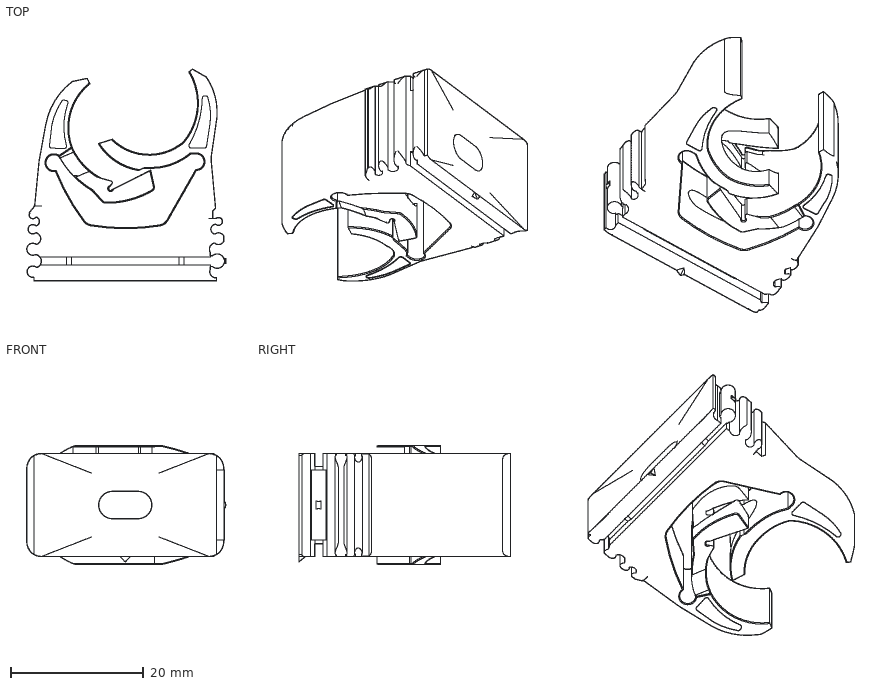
import cadquery as cq


half_depth = 7.8
hook_half_depth = 9.0
base_half_width = 12.65
foot_half_width = 13.8
teeth_half_width = 14.9
flank_radius = 2.25
left_foot_x = -13.72
right_neck_x = 13.25
left_foot_y = 11.31
right_foot_y = 11.0
right_teeth_top = 9.45
arm_edge_radius = 0.85
rim_chamfer = 0.15
tolerance = 0.01

left_teeth = [(9.95, 0.55), (7.82, 0.72), (4.8, 0.92), (1.4, 0.87)]
right_teeth = [(9.0, 0.6), (6.4, 0.9)]
left_tooth_x = -13.98
right_tooth_x = 14.1
left_notches = [(9.0, 0.7), (6.4, 0.9), (3.0, 1.0)]
right_notches = [(7.82, 0.74), (4.8, 0.96), (1.4, 0.9)]
notch_x = 13.7

key_height = 3.0
key_radius = 1.1
key_x = 13.9
key_half_depth = 5.3
key_stem_half_height = 0.83
key_bay_x = 12.88
pin_radius = 0.85
pin_half_height = 0.37
pin_tip_x = 15.2

groove_bottom = 2.45
groove_top = 3.65
groove_outer_floor = 5.3
groove_middle_floor = 5.86
groove_step_inner = 8.1
groove_step_outer = 8.9

panel_outer = (12.0, 4.64, 0.16)
panel_inner = (5.1, 4.83, 1.06)
recess_corner_x = 1.1
recess_corner_z = 0.4
funnel_depth = 1.7
slot_length = 8.0
slot_width = 4.1

arrow_half_width = 0.75
arrow_reach = 0.83
arrow_height = 1.0

pivot_left = (-11.97, 18.04)
bay_centre = (10.72, 18.04)
bay_radius = 1.18
bay_top = (bay_centre[0], bay_centre[1] + bay_radius)
right_hook_root = (9.9, bay_top[1])
cavity_corner_left = (-5.8, 8.6)
cavity_corner_right = (5.95, 8.6)
cavity_corner_radius = 1.6
cavity_floor = 8.05
cavity_top_left = (-10.46, 16.72)
cavity_top_right = (10.6, 16.75)
left_arm_root = (-8.0, 20.15)
left_hook_root = (-10.0, 18.8)
right_arm_root = (8.75, 21.0)
left_ramp_start = (-8.7, 19.1)
left_ramp_direction = -67
left_ramp_run = 3.6
right_ramp_start = (9.0, 20.0)
right_ramp_direction = -137
right_ramp_run = 4.4
hook_rim_start_x = -8.2
hook_toe = (4.5, 13.86)
hook_heel = (-3.32, 11.78)
hook_corner_radius = 0.7
access_radius = 5.25
access_top = 24.0
hook_gap_top = 15.97
hook_gap_ceiling = 8.77

arm_outside_x = 12.3
arm_straight_bottom = left_foot_y + 0.5
left_curve_x = -8.5
left_curve_bottom = 25.0
arm_tip_bottom = 30.0
rim_limit_x = 11.99
rim_bottom = 5.0
rim_top = 27.0

pocket_depth = 0.1
pocket_corner_radius = 0.35


def slab(outline, half):
    """Extrude a closed XY outline to both sides of Z = 0."""
    return outline.close().extrude(half, both=True)


def disc(x, y, radius, half=half_depth):
    return cq.Workplane("XY").center(x, y).circle(radius).extrude(half, both=True)


def box_between(x0, x1, y0, y1, z0, z1):
    size = (x1 - x0, y1 - y0, z1 - z0)
    return cq.Workplane("XY").box(*size, centered=False).translate((x0, y0, z0))


def fillet_upright(body, corners, radius):
    """Round the edges parallel to Z that stand at the given XY corners."""
    for corner in corners:
        edge_finder = cq.selectors.NearestToPointSelector((*corner, 0))
        body = body.edges(edge_finder).fillet(radius)
    return body


def polyhedron(faces):
    """Solid bounded by flat faces, each given as a list of corner points."""
    made = [
        cq.Face.makeFromWires(cq.Wire.makePolygon([cq.Vector(*p) for p in face], close=True))
        for face in faces
    ]
    return cq.Workplane(obj=cq.Solid.makeSolid(cq.Shell.makeShell(made)))


def frame():
    """Base block and both arms above it, as one plate with sharp edges."""
    outline = (
        cq.Workplane("XY")
        .moveTo(-base_half_width, 0)
        .lineTo(-base_half_width, left_foot_y)
        .lineTo(left_foot_x, left_foot_y)
        .lineTo(-13.05, 18.1)
        .lineTo(-12.05, 23.6)
        .threePointArc((-10.65, 27.25), (-7.97, 30.18))
        .lineTo(-5.75, 30.65)
        .lineTo(-5.35, 29.8)
        .threePointArc((-8.5, 24.0), left_arm_root)
        .lineTo(*left_hook_root)
        .threePointArc(pivot_left, cavity_top_left)
        .threePointArc((-8.55, 12.7), cavity_corner_left)
        .threePointArc((0, cavity_floor), cavity_corner_right)
        .lineTo(*cavity_top_right)
        .lineTo(bay_centre[0], bay_centre[1] - bay_radius)
        .threePointArc((bay_centre[0] + bay_radius, bay_centre[1]), bay_top)
        .lineTo(*right_hook_root)
        .lineTo(*right_arm_root)
        .threePointArc((10.9, 26.4), (9.6, 31.6))
        .lineTo(10.15, 32.04)
        .lineTo(12.27, 30.83)
        .threePointArc((13.67, 27.6), (13.72, 23.62))
        .lineTo(13.02, 18.8)
        .lineTo(13.02, 18.1)
        .lineTo(13.67, right_foot_y)
        .lineTo(right_neck_x, 10.6)
        .lineTo(right_neck_x, right_teeth_top)
        .lineTo(base_half_width, right_teeth_top)
        .lineTo(base_half_width, 0)
    )
    body = slab(outline, half_depth)
    return fillet_upright(body, (cavity_corner_left, cavity_corner_right), cavity_corner_radius)


def is_face_edge(edge):
    return abs(abs(edge.Center().z) - half_depth) < tolerance


def is_outer_arm_edge(edge):
    x, y, _ = edge.Center().toTuple()
    beside_straight_part = abs(x) > arm_outside_x and y > arm_straight_bottom
    beside_left_curve = x < left_curve_x and y > left_curve_bottom
    below_tips = y < arm_tip_bottom
    return is_face_edge(edge) and below_tips and (beside_straight_part or beside_left_curve)


def is_inner_rim_edge(edge):
    """Rim of the cavity and of the pipe seat, without the lines where the hooks attach."""
    x, y, _ = edge.Center().toTuple()
    at_hook_root = edge.geomType() == "LINE" and y > bay_top[1] + bay_radius / 4
    inside = abs(x) < rim_limit_x and rim_bottom < y < rim_top
    return is_face_edge(edge) and inside and not at_hook_root


def arm_pockets():
    """Cutters for the shallow pockets in both faces of both arms."""
    left = (
        cq.Workplane("XY", origin=(0, 0, half_depth - pocket_depth))
        .moveTo(-11.5, 20.1)
        .lineTo(-11.1, 23.6)
        .threePointArc((-10.5, 25.5), (-9.45, 27.4))
        .lineTo(-8.55, 27.2)
        .threePointArc((-9.28, 23.6), (-8.75, 20.0))
    )
    right = (
        cq.Workplane("XY", origin=(0, 0, half_depth - pocket_depth))
        .moveTo(9.35, 20.1)
        .threePointArc((11.1, 24.0), (11.65, 28.0))
        .lineTo(12.4, 28.0)
        .threePointArc((12.85, 25.9), (12.8, 23.7))
        .lineTo(12.25, 20.1)
    )
    upper = [
        arm.close().extrude(pocket_depth).edges("|Z").fillet(pocket_corner_radius)
        for arm in (left, right)
    ]
    return upper + [pocket.mirror("XY") for pocket in upper]


def finished_frame():
    body = frame()
    body = body.edges().filter(is_outer_arm_edge).fillet(arm_edge_radius)
    body = body.edges().filter(is_inner_rim_edge).chamfer(rim_chamfer)
    for pocket in arm_pockets():
        body = body.cut(pocket)
    return body


def left_hook():
    outline = (
        cq.Workplane("XY")
        .moveTo(*left_arm_root)
        .threePointArc((-6.6, 17.9), (-4.36, 15.95))
        .lineTo(-3.62, 15.53)
        .lineTo(-2.1, 15.12)
        .lineTo(-1.9, 14.85)
        .lineTo(-2.4, 14.2)
        .threePointArc((-2.45, 13.8), (-2.0, 13.8))
        .lineTo(3.85, 16.75)
        .lineTo(*hook_toe)
        .threePointArc((1.2, 12.35), (-1.31, 11.83))
        .lineTo(*hook_heel)
        .lineTo(-5.0, 13.64)
        .threePointArc((-7.82, 15.85), left_hook_root)
    )
    hook = slab(outline, hook_half_depth)
    return fillet_upright(hook, (hook_toe, hook_heel), hook_corner_radius)


def right_hook():
    outline = (
        cq.Workplane("XY")
        .moveTo(*right_arm_root)
        .threePointArc((3.9, 19.15), (-1.96, 21.44))
        .lineTo(-4.08, 20.76)
        .threePointArc((-1.45, 18.05), (2.01, 16.69))
        .lineTo(2.57, 16.97)
        .lineTo(4.79, 17.06)
        .threePointArc((7.4, 17.7), right_hook_root)
    )
    return slab(outline, hook_half_depth)


def ramp_envelope(start, direction_degrees, run):
    """Space that is body-deep up to `start` and widens to the hook depth over `run`."""
    before = 6
    after = 20
    across = 14
    profile = [
        (-before, half_depth),
        (0, half_depth),
        (run, hook_half_depth),
        (after, hook_half_depth),
        (after, -hook_half_depth),
        (run, -hook_half_depth),
        (0, -half_depth),
        (-before, -half_depth),
    ]
    return (
        cq.Workplane("XZ")
        .polyline(profile)
        .close()
        .extrude(across, both=True)
        .rotate((0, 0, 0), (0, 0, 1), direction_degrees)
        .translate((*start, 0))
    )


def hooks():
    """Both hooks with ramps, rim chamfers, the slit and the screwdriver passage."""
    left = left_hook().intersect(ramp_envelope(left_ramp_start, left_ramp_direction, left_ramp_run))
    right = right_hook().intersect(ramp_envelope(right_ramp_start, right_ramp_direction, right_ramp_run))

    def is_curved_rim(edge):
        curved = edge.geomType() != "LINE"
        beyond_root = edge.Center().x > hook_rim_start_x
        return curved and beyond_root and abs(edge.Center().z) > half_depth - tolerance

    left = left.edges().filter(is_curved_rim).chamfer(rim_chamfer)
    right = right.edges().filter(is_curved_rim).chamfer(rim_chamfer)
    gap = box_between(-base_half_width, base_half_width, 0, hook_gap_top, half_depth, hook_gap_ceiling)
    access = cq.Workplane("XZ").circle(access_radius).extrude(-access_top)
    return left.cut(gap).cut(access), right.cut(access)


def teeth():
    """Toothed strips on both flanks, rounded towards the faces."""
    left = box_between(-foot_half_width, -base_half_width, 0, left_foot_y, -half_depth, half_depth)
    right = box_between(base_half_width, foot_half_width, 0, right_teeth_top, -half_depth, half_depth)
    for height, radius in left_notches:
        left = left.cut(disc(-notch_x, height, radius))
    for height, radius in right_notches:
        right = right.cut(disc(notch_x, height, radius))
    bay_bottom = right_notches[-1][0]
    bay_end = right_notches[-2][0]
    right = right.cut(
        box_between(key_bay_x, teeth_half_width, bay_bottom, bay_end, -half_depth, half_depth)
    )
    for height, radius in left_teeth:
        left = left.union(disc(left_tooth_x, height, radius))
    shoulder_outline = [(left_foot_x, left_foot_y), (-14.55, 10.3), (-notch_x, 9.7)]
    shoulder = slab(cq.Workplane("XY").polyline(shoulder_outline), half_depth)
    left = left.union(shoulder)
    for height, radius in right_teeth:
        right = right.union(disc(right_tooth_x, height, radius))
    envelope = (
        cq.Workplane("XZ")
        .rect(2 * teeth_half_width, 2 * half_depth)
        .extrude(-left_foot_y)
        .edges("|Y")
        .fillet(flank_radius)
    )
    return left.intersect(envelope), right.intersect(envelope)


def groove():
    """Cutter for the groove in both faces, shallower in the middle."""
    end = teeth_half_width
    profile = [
        (-end, half_depth),
        (-end, groove_outer_floor),
        (-groove_step_outer, groove_outer_floor),
        (-groove_step_inner, groove_middle_floor),
        (groove_step_inner, groove_middle_floor),
        (groove_step_outer, groove_outer_floor),
        (end, groove_outer_floor),
        (end, half_depth),
    ]
    front = (
        cq.Workplane("XZ", origin=(0, groove_bottom, 0))
        .polyline(profile)
        .close()
        .extrude(groove_bottom - groove_top)
    )
    return front.union(front.mirror("XY"))


def coupling_key():
    """Knob with a small pin on its tip, standing on the right flank."""
    knob = disc(key_x, key_height, key_radius, key_half_depth)
    stem_bottom = key_height - key_stem_half_height
    stem_top = key_height + key_stem_half_height
    stem = box_between(base_half_width, key_x, stem_bottom, stem_top, -key_half_depth, key_half_depth)
    pin = (
        cq.Workplane("XZ", origin=(pin_tip_x - pin_radius, key_height, 0))
        .circle(pin_radius)
        .extrude(pin_half_height, both=True)
    )
    return stem.union(knob).union(pin)


def bottom_recess():
    """Shallow sunk panels, deepest beside the funnel that leads to the screw slot."""
    rim_x = foot_half_width - recess_corner_x
    rim_z = half_depth - recess_corner_z
    ox, oz, outer_d = panel_outer
    ix, iz, inner_d = panel_inner

    faces = []
    for side in (1, -1):
        faces.append([(-rim_x, 0, side * half_depth), (rim_x, 0, side * half_depth),
                      (ix, inner_d, side * iz), (-ix, inner_d, side * iz)])
        faces.append([(side * foot_half_width, 0, rim_z), (side * foot_half_width, 0, -rim_z),
                      (side * ox, outer_d, -oz), (side * ox, outer_d, oz)])
        faces.append([(side * ox, outer_d, oz), (side * ox, outer_d, -oz),
                      (side * ix, inner_d, -iz), (side * ix, inner_d, iz)])
        for end in (1, -1):
            corner = (side * rim_x, 0, end * half_depth)
            outer = (side * ox, outer_d, end * oz)
            faces.append([corner, (side * foot_half_width, 0, end * rim_z), outer])
            faces.append([corner, outer, (side * ix, inner_d, end * iz)])
    faces.append([(-ix, inner_d, -iz), (ix, inner_d, -iz), (ix, inner_d, iz), (-ix, inner_d, iz)])
    faces.append([(-rim_x, 0, half_depth), (rim_x, 0, half_depth),
                  (foot_half_width, 0, rim_z), (foot_half_width, 0, -rim_z),
                  (rim_x, 0, -half_depth), (-rim_x, 0, -half_depth),
                  (-foot_half_width, 0, -rim_z), (-foot_half_width, 0, rim_z)])
    panels = polyhedron(faces)
    funnel = (
        cq.Workplane("XZ", origin=(0, inner_d, 0))
        .rect(2 * ix, 2 * iz)
        .workplane(offset=inner_d - funnel_depth)
        .slot2D(slot_length, slot_width)
        .loft(ruled=True)
    )
    slot = cq.Workplane("XZ").slot2D(slot_length, slot_width).extrude(-left_foot_y)
    return panels, funnel, slot


def arrow_mark():
    left = (-arrow_half_width, 0, -half_depth)
    right = (arrow_half_width, 0, -half_depth)
    tip = (0, 0, -half_depth - arrow_reach)
    top = (0, arrow_height, -half_depth)
    return polyhedron([[left, right, tip], [left, right, top], [left, tip, top], [right, tip, top]])


result = finished_frame()
for piece in (*teeth(), *hooks()):
    result = result.union(piece)
result = result.cut(groove()).union(coupling_key())
for cutter in bottom_recess():
    result = result.cut(cutter)
result = result.union(arrow_mark())